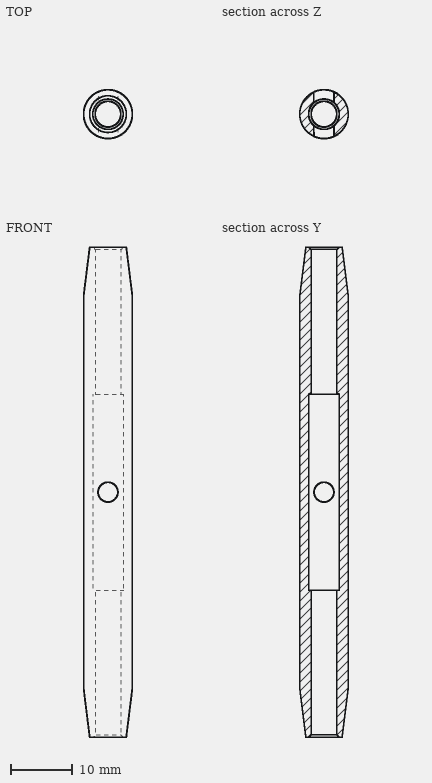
import cadquery as cq

length = 80.0
body_diameter = 8.0
tip_diameter = 6.0
taper_length = 8.0

bore_diameter = 4.2
relief_diameter = 5.0
relief_length = 32.0
cross_hole_diameter = 3.2

half_length = length / 2
shoulder_height = half_length - taper_length
half_relief = relief_length / 2

body_radius = body_diameter / 2
tip_radius = tip_diameter / 2
bore_radius = bore_diameter / 2
relief_radius = relief_diameter / 2

mouth_radius = relief_radius
mouth_depth = mouth_radius - bore_radius


def revolve_about_z(outline):
    """Revolve a closed list of (radius, height) points about the Z axis."""
    return cq.Workplane("XZ").polyline(outline).close().revolve(360, (0, 0, 0), (0, 1, 0))


def make_body():
    """Round rod along Z, centred on the origin, tapering at both ends."""
    return revolve_about_z(
        [
            (0, -half_length),
            (tip_radius, -half_length),
            (body_radius, -shoulder_height),
            (body_radius, shoulder_height),
            (tip_radius, half_length),
            (0, half_length),
        ]
    )


def make_bore():
    """Cutter for the through bore: chamfered mouths and a wider relief at mid-length."""
    return revolve_about_z(
        [
            (0, -half_length),
            (mouth_radius, -half_length),
            (bore_radius, -half_length + mouth_depth),
            (bore_radius, -half_relief),
            (relief_radius, -half_relief),
            (relief_radius, half_relief),
            (bore_radius, half_relief),
            (bore_radius, half_length - mouth_depth),
            (mouth_radius, half_length),
            (0, half_length),
        ]
    )


def make_cross_hole():
    """Cutter for the hole along Y through both walls at mid-length."""
    return cq.Workplane("XZ").circle(cross_hole_diameter / 2).extrude(body_radius, both=True)


result = make_body().cut(make_bore()).cut(make_cross_hole())